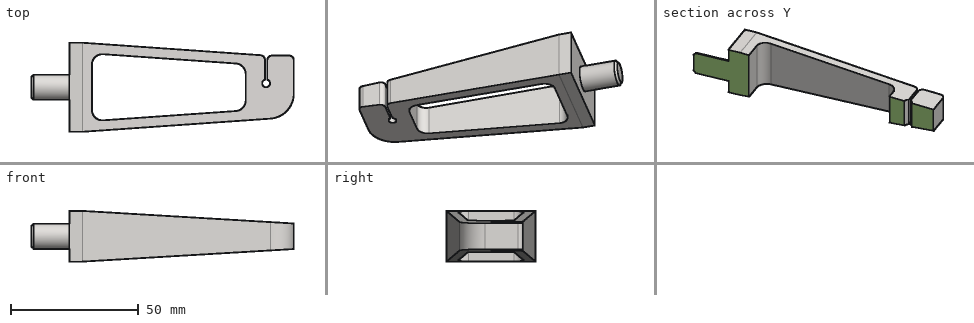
import cadquery as cq
import math

total_length = 103.0
base_width = 35.0
base_height = 20.0
tip_height = 10.1

pin_length = 15.0
pin_diameter = 10.0
pin_chamfer = 1.0
plate_thickness = 4.9

side_slope = 0.07
tip_corner_radius = 10.0
small_corner_radius = 2.0

window_start = 23.9
window_end = 84.0
rail_thickness = 4.0
window_corner_radius = 4.0

slit_x = 92.1
slit_width = 0.8
relief_diameter = 3.0
relief_y = 1.5

arm_start = pin_length + plate_thickness


def half_width(x):
    """Half of the arm width at x, along its straight sloping sides."""
    return base_width / 2 - side_slope * (x - arm_start)


def extrude_through(sketch):
    """Extrude a plan outline symmetrically over the full base height."""
    return sketch.extrude(base_height / 2, both=True)


def make_pin():
    pin = cq.Workplane("YZ").circle(pin_diameter / 2).extrude(pin_length)
    return pin.faces("<X").chamfer(pin_chamfer)


def make_plate():
    plate = cq.Workplane("YZ", origin=(pin_length, 0, 0)).rect(base_width, base_height)
    return plate.extrude(plate_thickness)


def make_slit():
    slit_length = base_width / 2 - relief_y
    slit = cq.Workplane("XY").center(slit_x, relief_y + slit_length / 2).rect(slit_width, slit_length)
    return extrude_through(slit)


def make_relief_hole():
    return extrude_through(cq.Workplane("XY").center(slit_x, relief_y).circle(relief_diameter / 2))


def make_window():
    inset = rail_thickness * math.hypot(1, side_slope)
    start_y = half_width(window_start) - inset
    end_y = half_width(window_end) - inset
    outline = cq.Workplane("XY").polyline([
        (window_start, -start_y),
        (window_end, -end_y),
        (window_end, end_y),
        (window_start, start_y),
    ]).close()
    return extrude_through(outline).edges("|Z").fillet(window_corner_radius)


def make_height_taper():
    """Wedge that narrows the arm in Z from the base plate to the tip."""
    profile = cq.Workplane("XZ").polyline([
        (arm_start, -base_height / 2),
        (total_length, -tip_height / 2),
        (total_length, tip_height / 2),
        (arm_start, base_height / 2),
    ]).close()
    return profile.extrude(base_width / 2, both=True)


def make_arm():
    tip_y = half_width(slit_x)
    blank = extrude_through(cq.Workplane("XY").polyline([
        (arm_start, -base_width / 2),
        (total_length, -half_width(total_length)),
        (total_length, tip_y),
        (slit_x, tip_y),
        (arm_start, base_width / 2),
    ]).close())
    blank = blank.faces(">X").edges("<Y").fillet(tip_corner_radius)
    blank = blank.faces(">X").edges(">Y").fillet(small_corner_radius)

    blank = blank.cut(make_slit())
    mouth = cq.selectors.BoxSelector(
        (slit_x - slit_width, tip_y - slit_width, -base_height),
        (slit_x + slit_width, tip_y + slit_width, base_height),
    )
    blank = blank.edges("|Z").edges(mouth).fillet(small_corner_radius)
    return blank.cut(make_relief_hole()).cut(make_window()).intersect(make_height_taper())


result = make_pin().union(make_plate()).union(make_arm())